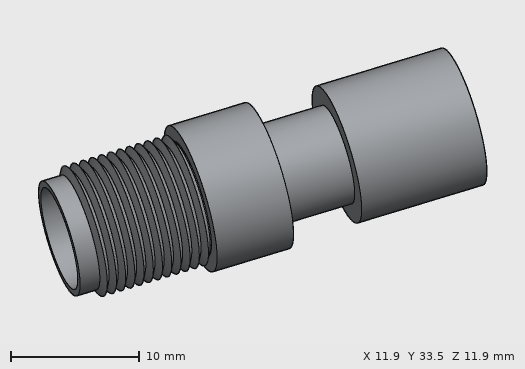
import cadquery as cq

total_length = 33.53
nose_length = 1.65
thread_length = 9.2
thread_count = 12
relief_length = 0.1
collar_length = 6.37
neck_length = 5.8

nose_radius = 4.7
thread_crest_radius = 5.33
collar_radius = 5.97
neck_radius = 4.02
sleeve_radius = 5.6

bore_radius = 4.15
bore_depth = 6.7
insulator_radius = 2.18
insulator_setback = 3.05
contact_hole_radius = 0.5
contact_hole_depth = 3.35

thread_pitch = thread_length / thread_count

mouth_y = -total_length / 2
thread_start_y = mouth_y + nose_length
thread_end_y = thread_start_y + thread_length
collar_start_y = thread_end_y + relief_length
neck_start_y = collar_start_y + collar_length
sleeve_start_y = neck_start_y + neck_length
back_y = mouth_y + total_length
bore_floor_y = mouth_y + bore_depth
insulator_face_y = mouth_y + insulator_setback
contact_hole_floor_y = insulator_face_y + contact_hole_depth


def cylinder(radius, start_y, end_y):
    """Solid cylinder on the Y axis between two stations."""
    return (
        cq.Workplane("XZ", origin=(0, start_y, 0))
        .circle(radius)
        .extrude(start_y - end_y)
    )


def ridged_body():
    """Revolve the stepped outline with its ring-shaped thread ridges."""
    outline = [
        (0, mouth_y),
        (nose_radius, mouth_y),
    ]
    for ridge in range(thread_count):
        ridge_y = thread_start_y + ridge * thread_pitch
        outline.append((nose_radius, ridge_y))
        outline.append((thread_crest_radius, ridge_y + thread_pitch / 2))
    outline += [
        (nose_radius, thread_end_y),
        (nose_radius, collar_start_y),
        (collar_radius, collar_start_y),
        (collar_radius, neck_start_y),
        (neck_radius, neck_start_y),
        (neck_radius, sleeve_start_y),
        (sleeve_radius, sleeve_start_y),
        (sleeve_radius, back_y),
        (0, back_y),
    ]
    return cq.Workplane("XY").polyline(outline).close().revolve(360, (0, 0, 0), (0, 1, 0))


bore = cylinder(bore_radius, mouth_y, bore_floor_y)
insulator = cylinder(insulator_radius, insulator_face_y, bore_floor_y)
contact_hole = cylinder(contact_hole_radius, insulator_face_y, contact_hole_floor_y)

socket_cavity = bore.cut(insulator)

result = ridged_body().cut(socket_cavity).cut(contact_hole)